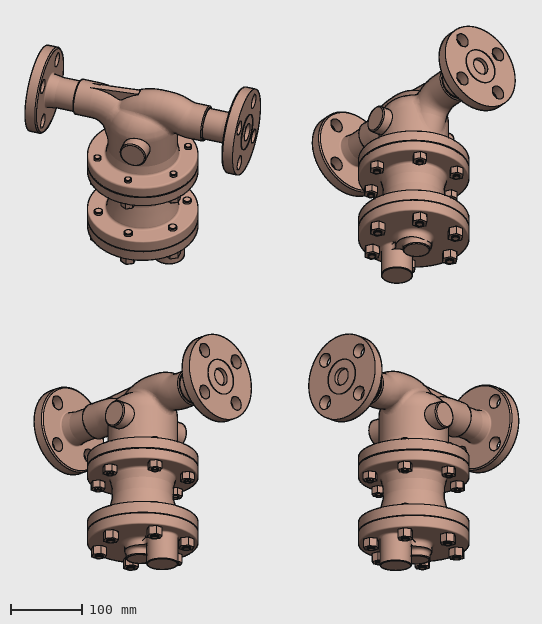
import cadquery as cq
import math


diagonal = math.sqrt(0.5)

half_length = 155.0
raised_face_d = 50.7
raised_face_h = 1.0
pipe_flange_d = 124.0
pipe_flange_back_x = 137.5
pipe_flange_chamfer = 2.0
pipe_hole_d = 20.0
pipe_hole_circle_d = 89.0
pipe_hole_spacing = pipe_hole_circle_d * diagonal
bore_d = 25
bore_depth = 6.3

hub_r = 24.0
hub_fillet = 2.2
hub_end_x = 123.0
stub_d = 44.0
pipe_r = 50.7 / 2
pipe_start_x = 95.8
pipe_chamfer = 1.5

inlet_bend_x = 69.8
inlet_bend_r = 39.0
inlet_bend_angle = 73
inlet_tail = 31.3

outlet_bend_x = 74.5
outlet_low_bend_r = 35.7
outlet_high_bend_r = 44.8
outlet_bend_angle = 30
crest_length = 10.5
crest_bend_r = 52.5
crest_bend_angle = 60
inlet_blend_r = 11.0
outlet_blend_r = 6.3
inlet_seam_max_x = -33.0
outlet_seam_min_x = -29.7

rib_t = 10.0
rib_low = (-69.8, pipe_r)
rib_high = (-5.0, 31.0)
rib_embed = 9.5

flange_d = 156.0
flange_r = flange_d / 2
dome_r = 98.0 / 2
knuckle_r = 31.3
dome_base_z = -20.5
upper_cone_z = -63.2
upper_cone_r = 51.3
waist_r = 86.0 / 2
waist_cone_r = 46.0
waist_top_z = -125.5
waist_bottom_z = -142.0
lower_cone_r = 50.7
root_fillet = 3.5

upper_top_z = -78.0
upper_seam_z = -94.8
upper_bottom_z = -110.8
lower_top_z = -175.3
lower_seam_z = -192.5
lower_bottom_z = -209.7
upper_rim_fillet = 2.8
rim_fillet = 2.0
gap = 1.0
upper_gasket_r = 75.7
lower_gasket_r = 70.0

bolt_count = 6
first_bolt_angle = 30
bolt_chamfer = 1.0
upper_bolt = {"circle_r": 65.0, "d": 10.0, "nut_af": 17.5, "rise": 4.0, "nut_h": 10.3, "drop": 13.0}
lower_bolt = {"circle_r": 63.5, "d": 12.0, "nut_af": 19.0, "rise": 4.0, "nut_h": 12.2, "drop": 14.5}

side_boss_d = 38.0
side_boss_x = 6.3
side_boss_z = -32.0
side_boss_reach = 63.2
side_boss_chamfer = 1.5

bottom_boss_d = 50.7
bottom_boss_end_z = -220.7
plug_d = 38.0
plug_x = -6.3
plug_end_z = -231.0
plug_chamfer = 1.3
plug_flare = 3.8
drain_d = 44.0
drain_x = 38.8
drain_end_z = -251.0
drain_chamfer = 1.0
drain_crease_r = 7.2
crease_min_y = 3
bottom_boss_root = 5.5
drain_root = 2.5


def make_body():
    """Domed housing with two flange pairs and a waist between them."""
    upper_mouth_r = upper_cone_r + root_fillet
    waist_mouth_r = waist_cone_r + root_fillet
    lower_mouth_r = lower_cone_r + root_fillet

    def hollow(mouth_r, flange_z, side):
        corner_z = flange_z + side * root_fillet
        return (mouth_r - root_fillet * diagonal, corner_z - side * root_fillet * diagonal)

    profile = (
        cq.Workplane("XZ")
        .moveTo(0, lower_bottom_z)
        .lineTo(flange_r, lower_bottom_z)
        .lineTo(flange_r, lower_top_z)
        .lineTo(lower_mouth_r, lower_top_z)
        .threePointArc(hollow(lower_mouth_r, lower_top_z, 1), (lower_cone_r, lower_top_z + root_fillet))
        .lineTo(waist_r, waist_bottom_z)
        .lineTo(waist_r, waist_top_z)
        .lineTo(waist_cone_r, upper_bottom_z - root_fillet)
        .threePointArc(hollow(waist_mouth_r, upper_bottom_z, -1), (waist_mouth_r, upper_bottom_z))
        .lineTo(flange_r, upper_bottom_z)
        .lineTo(flange_r, upper_top_z)
        .lineTo(upper_mouth_r, upper_top_z)
        .threePointArc(hollow(upper_mouth_r, upper_top_z, 1), (upper_cone_r, upper_top_z + root_fillet))
        .lineTo(dome_r, upper_cone_z)
        .lineTo(dome_r, dome_base_z)
        .threePointArc(
            (dome_r - knuckle_r * (1 - diagonal), dome_base_z + knuckle_r * diagonal),
            (dome_r - knuckle_r, dome_base_z + knuckle_r),
        )
        .lineTo(0, dome_base_z + knuckle_r)
        .close()
    )
    body = profile.revolve(360, (0, 0, 0), (0, 1, 0))

    def outer_rim(z):
        rim_slice = cq.selectors.BoxSelector(
            (-flange_d, -flange_d, z - gap), (flange_d, flange_d, z + gap), boundingbox=True
        )
        return body.edges(rim_slice).edges(cq.selectors.RadiusNthSelector(-1))

    body = outer_rim(upper_top_z).fillet(upper_rim_fillet)
    for z in (upper_bottom_z, lower_top_z, lower_bottom_z):
        body = outer_rim(z).fillet(rim_fillet)
    for z, gasket_r in ((upper_seam_z, upper_gasket_r), (lower_seam_z, lower_gasket_r)):
        groove = cq.Workplane("XY", origin=(0, 0, z - gap / 2)).circle(flange_r).circle(gasket_r).extrude(gap)
        body = body.cut(groove)
    return body


def bend_step(radius, angle_degrees):
    """Run and rise of a bend through the given angle away from its tangent."""
    angle = math.radians(angle_degrees)
    return radius * math.sin(angle), radius * (1 - math.cos(angle))


def make_inlet_pipe():
    """Straight pipe that bends down into the side of the body."""
    angle = math.radians(inlet_bend_angle)
    run, drop = bend_step(inlet_bend_r, inlet_bend_angle)
    path = (
        cq.Workplane("XZ")
        .moveTo(-pipe_start_x, 0)
        .lineTo(-inlet_bend_x, 0)
        .tangentArcPoint((run, -drop))
        .line(inlet_tail * math.cos(angle), -inlet_tail * math.sin(angle))
    )
    pipe = cq.Workplane("YZ", origin=(-pipe_start_x, 0, 0)).circle(pipe_r).sweep(path)
    return pipe.faces("<X").chamfer(pipe_chamfer)


def make_outlet_pipe():
    """Pipe that rises from the outlet, crosses a crest and dips into the dome."""
    low_run, low_rise = bend_step(outlet_low_bend_r, outlet_bend_angle)
    high_run, high_rise = bend_step(outlet_high_bend_r, outlet_bend_angle)
    dip_run, dip_drop = bend_step(crest_bend_r, crest_bend_angle)
    path = (
        cq.Workplane("XZ")
        .moveTo(pipe_start_x, 0)
        .lineTo(outlet_bend_x, 0)
        .tangentArcPoint((-low_run, low_rise))
        .tangentArcPoint((-high_run, high_rise))
        .line(-crest_length, 0)
        .tangentArcPoint((-dip_run, -dip_drop))
    )
    pipe = cq.Workplane("YZ", origin=(pipe_start_x, 0, 0)).circle(pipe_r).sweep(path)
    return pipe.faces(">X").chamfer(pipe_chamfer)


def blend_pipes(housing):
    """Round the curved seams: inlet pipe to body first, then outlet pipe to dome."""
    inlet_side = cq.selectors.BoxSelector(
        (-pipe_start_x, -dome_r, lower_bottom_z), (inlet_seam_max_x, dome_r, half_length)
    )
    outlet_side = cq.selectors.BoxSelector(
        (outlet_seam_min_x, -dome_r, lower_bottom_z), (pipe_start_x, dome_r, half_length)
    )
    housing = housing.edges("%BSPLINE").edges(inlet_side).fillet(inlet_blend_r)
    return housing.edges("%BSPLINE").edges(outlet_side).fillet(outlet_blend_r)


def make_pipe_flange():
    """Inlet flange with hub and stub, reaching into the bent pipe."""
    face_x = -half_length + raised_face_h
    hub_x = -pipe_flange_back_x + hub_fillet
    flange_edge_r = pipe_flange_d / 2
    profile = (
        cq.Workplane("XZ")
        .moveTo(-half_length, 0)
        .lineTo(-half_length, raised_face_d / 2)
        .lineTo(face_x, raised_face_d / 2)
        .lineTo(face_x, flange_edge_r)
        .lineTo(-pipe_flange_back_x - pipe_flange_chamfer, flange_edge_r)
        .lineTo(-pipe_flange_back_x, flange_edge_r - pipe_flange_chamfer)
        .lineTo(-pipe_flange_back_x, hub_r + hub_fillet)
        .threePointArc(
            (hub_x - hub_fillet * diagonal, hub_r + hub_fillet * (1 - diagonal)),
            (hub_x, hub_r),
        )
        .lineTo(-hub_end_x, stub_d / 2)
        .lineTo(-pipe_start_x + pipe_chamfer, stub_d / 2)
        .lineTo(-pipe_start_x + pipe_chamfer, 0)
        .close()
    )
    flange = profile.revolve(360, (0, 0, 0), (1, 0, 0))
    face = cq.Workplane("YZ", origin=(-half_length, 0, 0))
    holes = (
        face.rect(pipe_hole_spacing, pipe_hole_spacing, forConstruction=True)
        .vertices()
        .circle(pipe_hole_d / 2)
        .extrude(half_length - pipe_flange_back_x)
    )
    return flange.cut(holes).cut(face.circle(bore_d / 2).extrude(bore_depth))


def make_rib():
    """Sloping rib from the inlet pipe up to the crest of the outlet pipe."""
    slope = (rib_high[1] - rib_low[1]) / (rib_high[0] - rib_low[0])
    return (
        cq.Workplane("XZ")
        .moveTo(*rib_high)
        .lineTo(rib_high[0], 0)
        .lineTo(rib_low[0] - rib_embed, 0)
        .lineTo(rib_low[0] - rib_embed, rib_low[1] - rib_embed * slope)
        .close()
        .extrude(rib_t / 2, both=True)
    )


def make_bolts(bolt, top_z, bottom_z):
    """Six studs with hexagon nuts under a flange pair."""
    stud_h = top_z + bolt["rise"] - (bottom_z - bolt["drop"])
    nut_corner_d = bolt["nut_af"] / math.cos(math.radians(30))
    stud = cq.Workplane("XY", origin=(0, 0, bottom_z - bolt["drop"])).circle(bolt["d"] / 2).extrude(stud_h)
    stud = stud.faces("<Z or >Z").chamfer(bolt_chamfer)
    nut = cq.Workplane("XY", origin=(0, 0, bottom_z - bolt["nut_h"])).transformed(rotate=(0, 0, 90))
    bolt_shape = stud.union(nut.polygon(6, nut_corner_d).extrude(bolt["nut_h"]))
    bolts = []
    for index in range(bolt_count):
        angle = math.radians(first_bolt_angle + index * 360 / bolt_count)
        x = bolt["circle_r"] * math.cos(angle)
        y = bolt["circle_r"] * math.sin(angle)
        bolts.append(bolt_shape.translate((x, y, 0)))
    return bolts


def make_side_bosses():
    """Round boss running through the body from side to side."""
    boss = cq.Workplane("XZ", origin=(side_boss_x, 0, side_boss_z)).circle(side_boss_d / 2)
    return boss.extrude(side_boss_reach, both=True).faces("<Y or >Y").chamfer(side_boss_chamfer)


def make_peg(x, diameter, end_z):
    """Round peg hanging from the bottom flange."""
    return cq.Workplane("XY", origin=(x, 0, end_z)).circle(diameter / 2).extrude(lower_bottom_z - end_z)


def make_root_flare(x, diameter, top_z, radius):
    """Concave flare around the top of a peg."""
    inner_r = diameter / 2
    return (
        cq.Workplane("XZ")
        .lineTo(inner_r, -radius)
        .threePointArc(
            (inner_r + radius * (1 - diagonal), -radius * (1 - diagonal)),
            (inner_r + radius, 0),
        )
        .close()
        .revolve(360, (0, 0, 0), (0, 1, 0))
        .translate((x, 0, top_z))
    )


def make_bottom():
    """Bottom boss with its plug, and the drain pipe beside it."""
    boss = make_peg(0, bottom_boss_d, bottom_boss_end_z)
    plug = make_peg(plug_x, plug_d, plug_end_z).faces("<Z").chamfer(plug_chamfer)
    plug_root = make_root_flare(plug_x, plug_d, bottom_boss_end_z, plug_flare)
    boss_reach = make_peg(0, bottom_boss_d, plug_end_z)
    drain = make_peg(drain_x, drain_d, drain_end_z).faces("<Z").chamfer(drain_chamfer)
    bottom = boss.union(drain)
    creases = [edge for edge in bottom.edges("|Z").vals() if abs(edge.Center().y) > crease_min_y]
    bottom = bottom.newObject(creases).fillet(drain_crease_r)
    bottom = bottom.union(plug).union(plug_root.intersect(boss_reach))
    bottom = bottom.union(make_root_flare(0, bottom_boss_d, lower_bottom_z, bottom_boss_root))
    return bottom.union(make_root_flare(drain_x, drain_d, lower_bottom_z, drain_root))


inlet_flange = make_pipe_flange()
housing = make_body().union(make_inlet_pipe()).union(make_outlet_pipe())
result = blend_pipes(housing)
result = result.union(make_rib()).union(make_side_bosses())
result = result.union(inlet_flange).union(inlet_flange.mirror("YZ")).union(make_bottom())
for bolt in make_bolts(upper_bolt, upper_top_z, upper_bottom_z):
    result = result.union(bolt)
for bolt in make_bolts(lower_bolt, lower_top_z, lower_bottom_z):
    result = result.union(bolt)